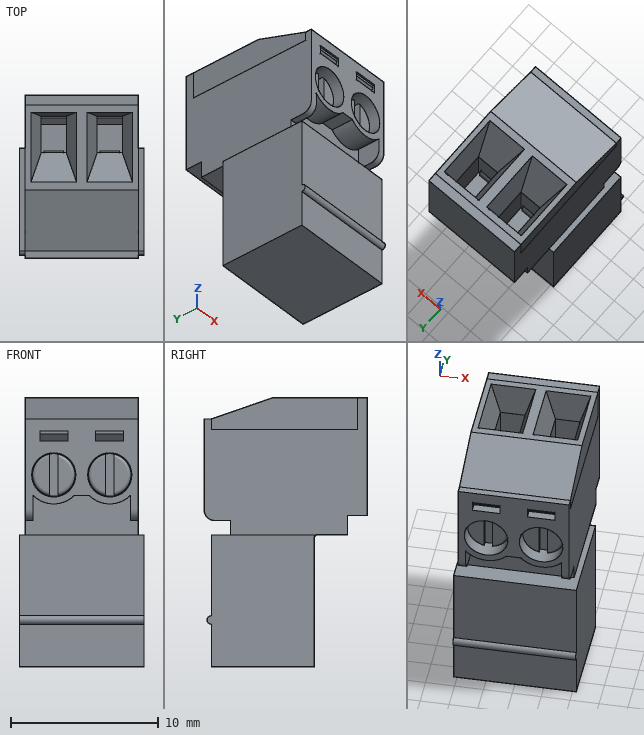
import cadquery as cq


height = 18.3
upper_width = 7.69
front_y = -11.1
pole_pitch = 3.8
pole_positions = [-pole_pitch / 2, pole_pitch / 2]

plug_width = 8.5
plug_height = 8.97
plug_back_y = -3.6
plug_front_y = -10.61
rib_radius = 0.3
rib_z = 3.18

neck_back_y = -1.35
neck_front_y = -9.31
back_step_z = 10.28
front_lip_z = 9.94
lip_round = 0.73
leg_width = 0.53
relief_top_z = 11.65

cover_back_y = -0.68
cover_front_y = plug_front_y
cover_bottom_z = 16.14
slope_start_y = -6.45
slope_end_z = 16.85

funnel_width = 3.1
funnel_back_y = -1.17
funnel_front_y = -5.91
well_width = 1.7
well_back_y = -1.45
well_front_y = -3.92

window_width = 1.9
window_top_z = 16.03
window_bottom_z = 15.35
window_depth = 0.13
window_back_height = 0.2

screw_z = 13.05
screw_diameter = 2.9
screw_hole_diameter = 3.0
screw_boss_radius = 1.98
screw_recess = 0.73
screw_length = 2.2
screw_edge_round = 0.24
slot_width = 0.59
slot_depth = 0.5

clamp_bottom_z = 10.98
clamp_floor_z = 12.08
clamp_ramp = 0.44
clamp_back_lip = 0.13

contact_width = 1.3
contact_back_y = -3.8
contact_radius = 0.5
contact_top_z = 13.18
contact_bottom_z = 7.32
heel_back_y = -3.45
heel_top_z = 10.25


def prism(points, width, x_centre=0.0):
    """Extrude a (Y, Z) outline along X, centred on x_centre."""
    return (
        cq.Workplane("YZ")
        .workplane(offset=x_centre - width / 2)
        .polyline(points)
        .close()
        .extrude(width)
    )


def block(width, y_back, y_front, z_bottom, z_top, x_centre=0.0):
    """Make a box between the given planes, centred on x_centre."""
    outline = [(y_back, z_bottom), (y_front, z_bottom), (y_front, z_top), (y_back, z_top)]
    return prism(outline, width, x_centre)


def front_cylinder(x, diameter, y_start, length):
    """Make a cylinder on a screw axis that runs from y_start toward the back."""
    return (
        cq.Workplane("XZ", origin=(x, y_start, screw_z))
        .circle(diameter / 2)
        .extrude(-length)
    )


def make_cover():
    """Sloped cover with one tapered wire funnel for each pole."""
    cover = prism(
        [
            (cover_back_y, cover_bottom_z),
            (cover_front_y, cover_bottom_z),
            (cover_front_y, slope_end_z),
            (slope_start_y, height),
            (cover_back_y, height),
        ],
        upper_width,
    )
    for x in pole_positions:
        cover = cover.cut(make_funnel(x))
    return cover


def make_funnel(x):
    """Tapered opening from the top of the cover down to the wire well."""
    top_centre_y = (funnel_back_y + funnel_front_y) / 2
    well_centre_y = (well_back_y + well_front_y) / 2
    return (
        cq.Workplane("XY", origin=(x, 0, cover_bottom_z))
        .center(0, well_centre_y)
        .rect(well_width, well_back_y - well_front_y)
        .workplane(offset=height - cover_bottom_z)
        .center(0, top_centre_y - well_centre_y)
        .rect(funnel_width, funnel_back_y - funnel_front_y)
        .loft(ruled=True)
    )


def make_screw(x):
    """Slotted screw head, rounded at its front edge."""
    face_y = front_y + screw_recess
    head = front_cylinder(x, screw_diameter, face_y, screw_length)
    head = head.faces("<Y").edges().fillet(screw_edge_round)
    slot = (
        cq.Workplane("XZ", origin=(x, face_y, screw_z))
        .rect(slot_width, screw_diameter)
        .extrude(-slot_depth)
    )
    return head.cut(slot)


def make_contact(x):
    """Upright contact bar with a round top, and a heel that slopes into the plug."""
    bar_front_y = contact_back_y - 2 * contact_radius
    round_z = contact_top_z - contact_radius
    heel_slope = heel_back_y - contact_back_y
    return (
        cq.Workplane("YZ")
        .workplane(offset=x - contact_width / 2)
        .moveTo(bar_front_y, contact_bottom_z)
        .lineTo(bar_front_y, round_z)
        .threePointArc((contact_back_y - contact_radius, contact_top_z), (contact_back_y, round_z))
        .lineTo(contact_back_y, heel_top_z)
        .lineTo(heel_back_y, heel_top_z)
        .lineTo(heel_back_y, plug_height)
        .lineTo(contact_back_y, plug_height - heel_slope)
        .lineTo(contact_back_y, contact_bottom_z)
        .close()
        .extrude(contact_width)
    )


def make_clamp(x, contact):
    """Block in the bottom of the wire well, ramped at the back and notched for the contact."""
    ramp_top_y = well_back_y - clamp_back_lip
    ramp_top_z = clamp_floor_z + clamp_ramp
    clamp = prism(
        [
            (well_back_y, clamp_bottom_z),
            (well_front_y, clamp_bottom_z),
            (well_front_y, clamp_floor_z),
            (ramp_top_y - clamp_ramp, clamp_floor_z),
            (ramp_top_y, ramp_top_z),
            (well_back_y, ramp_top_z),
        ],
        well_width,
        x,
    )
    return clamp.cut(contact)


def make_upper_block():
    """Stepped block that carries the cover, with a rounded lower front lip."""
    upper_block = prism(
        [
            (0, back_step_z),
            (neck_back_y, back_step_z),
            (neck_back_y, plug_height),
            (neck_front_y, plug_height),
            (neck_front_y, front_lip_z),
            (front_y, front_lip_z),
            (front_y, slope_end_z),
            (cover_front_y, slope_end_z),
            (cover_front_y, cover_bottom_z),
            (cover_back_y, cover_bottom_z),
            (cover_back_y, height),
            (0, height),
        ],
        upper_width,
    )
    lip_edge = cq.selectors.NearestToPointSelector((0, front_y, front_lip_z))
    return upper_block.edges(lip_edge).fillet(lip_round)


def make_front_relief():
    """Recess under the screws that leaves a leg at each side and a round boss at each screw."""
    relief = block(upper_width - 2 * leg_width, neck_front_y, front_y, plug_height, relief_top_z)
    for x in pole_positions:
        boss = front_cylinder(x, 2 * screw_boss_radius, front_y, neck_front_y - front_y)
        relief = relief.cut(boss)
    return relief


def make_window(x):
    """Test window whose lower back wall slopes away from the front at 45 degrees."""
    back_y = front_y + window_depth
    ramp_top_z = window_top_z - window_back_height
    ramp = ramp_top_z - window_bottom_z
    return prism(
        [
            (front_y, window_bottom_z),
            (front_y, window_top_z),
            (back_y, window_top_z),
            (back_y, ramp_top_z),
            (back_y + ramp, window_bottom_z),
        ],
        window_width,
        x,
    )


def make_plug():
    """Lower plug block with a half-round rib across its front."""
    plug = block(plug_width, plug_back_y, plug_front_y, 0, plug_height)
    rib = (
        cq.Workplane("YZ", origin=(-plug_width / 2, plug_front_y, rib_z))
        .circle(rib_radius)
        .extrude(plug_width)
    )
    return plug.union(rib)


def make_housing(contacts):
    """Upper block and plug in one piece, with a cavity for each inner body."""
    housing = make_upper_block().cut(make_front_relief()).union(make_plug())
    for x, contact in zip(pole_positions, contacts):
        housing = housing.cut(make_window(x))
        screw_hole = front_cylinder(x, screw_hole_diameter, front_y, screw_recess + screw_length)
        well = block(well_width, well_back_y, well_front_y, clamp_bottom_z, cover_bottom_z, x)
        housing = housing.cut(screw_hole).cut(well)
        housing = housing.cut(contact)
    return housing


contacts = [make_contact(x) for x in pole_positions]
clamps = [make_clamp(x, contact) for x, contact in zip(pole_positions, contacts)]
screws = [make_screw(x) for x in pole_positions]
cover = make_cover()
housing = make_housing(contacts)

inner_bodies = [body.val() for body in contacts + clamps + screws]
result = cq.Compound.makeCompound([housing.val(), cover.val(), *inner_bodies])